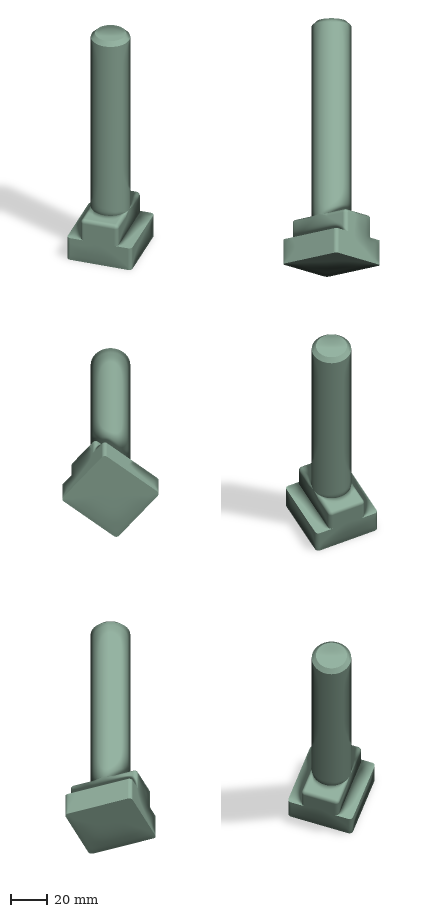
import cadquery as cq
import math

head_width = 38.0
head_length = 40.0
head_height = 14.0
neck_top = 27.0
total_height = 139.0
shank_diameter = 22.0
shank_radius = shank_diameter / 2
neck_width = shank_diameter
edge_radius = 2.1
tip_chamfer = 2.4

fade_reach = math.sqrt(shank_radius**2 - (shank_radius - edge_radius) ** 2)
faded_radius = 0.03


def make_head():
    """Wide foot with rounded vertical corners."""
    foot = cq.Workplane("XY").box(head_width, head_length, head_height, centered=(True, True, False))
    return foot.edges("|Z").fillet(edge_radius)


def make_neck():
    """Narrow block with rounded vertical corners and top rim."""
    block = cq.Workplane("XY").box(neck_width, head_length, neck_top, centered=(True, True, False))
    return block.edges("|Z or >Z").fillet(edge_radius)


def neck_section(y, corner_radius):
    """Cross-section of the neck at a given Y, with its two top corners rounded."""
    half_width = neck_width / 2
    flat_half = half_width - corner_radius
    side_top = neck_top - corner_radius
    mid_inset = corner_radius * (1 - math.sqrt(0.5))
    section = (
        cq.Workplane("XZ", origin=(0, y, 0))
        .moveTo(-half_width, 0)
        .lineTo(half_width, 0)
        .lineTo(half_width, side_top)
        .threePointArc((half_width - mid_inset, neck_top - mid_inset), (flat_half, neck_top))
        .lineTo(-flat_half, neck_top)
        .threePointArc((mid_inset - half_width, neck_top - mid_inset), (-half_width, side_top))
        .close()
    )
    return section.val()


def make_fade():
    """Middle of the neck, whose rounding tapers to nothing beside the shank."""
    sections = [neck_section(fade_reach, edge_radius), neck_section(0, faded_radius)]
    half = cq.Workplane(cq.Solid.makeLoft(sections, True))
    return half.union(half.mirror("XZ"))


def make_shank():
    """Round shank, as wide as the neck, with a chamfered tip."""
    shank = cq.Workplane("XY").workplane(offset=head_height).circle(shank_radius)
    shank = shank.extrude(total_height - head_height)
    return shank.faces(">Z").edges().chamfer(tip_chamfer)


result = make_head().union(make_neck()).union(make_fade()).union(make_shank())